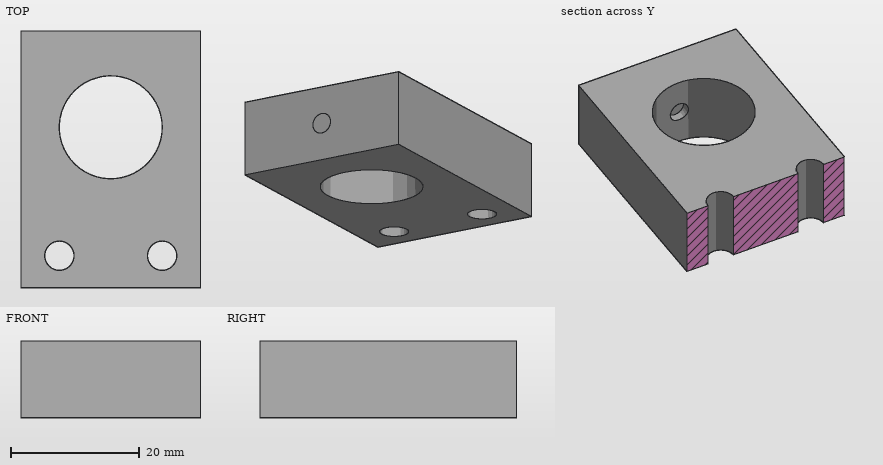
import cadquery as cq

WIDTH = 28
LENGTH = 40
HEIGHT = 12

BORE_DIAMETER = 16
BORE_Y = LENGTH / 2 - 15.0
MOUNT_DIAMETER = 4.5
MOUNT_SPACING = 16
MOUNT_Y = -LENGTH / 2 + 5.0

SCREW_DIAMETER = 3.2
SCREW_RECESS = 1.4
SCREW_TIP_Y = BORE_Y + BORE_DIAMETER / 2 + SCREW_RECESS


def screw_cylinder(start_y):
    """Cylinder on the screw axis, from start_y to the +Y face."""
    return (
        cq.Workplane("XZ", origin=(0, start_y, HEIGHT / 2))
        .circle(SCREW_DIAMETER / 2)
        .extrude(start_y - LENGTH / 2)
    )


def make_block():
    """Block with the main bore, two mounting holes and the screw hole."""
    block = cq.Workplane("XY").box(WIDTH, LENGTH, HEIGHT, centered=(True, True, False))
    bore = cq.Workplane("XY").center(0, BORE_Y).circle(BORE_DIAMETER / 2).extrude(HEIGHT)
    mounting_holes = (
        cq.Workplane("XY")
        .pushPoints([(side * MOUNT_SPACING / 2, MOUNT_Y) for side in (-1, 1)])
        .circle(MOUNT_DIAMETER / 2)
        .extrude(HEIGHT)
    )
    return block.cut(bore).cut(mounting_holes).cut(screw_cylinder(BORE_Y))


def make_screw():
    """Plain screw body, flush with the +Y face."""
    return screw_cylinder(SCREW_TIP_Y)


block = make_block()
screw = make_screw()

result = cq.Compound.makeCompound([block.solids().val(), screw.val()])